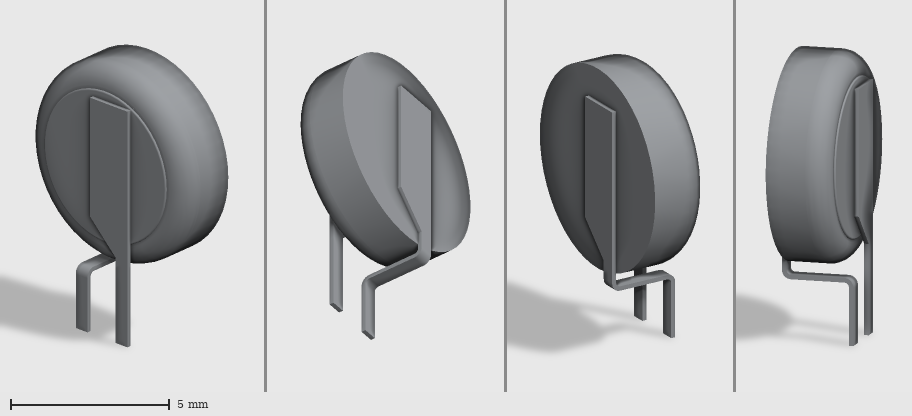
import cadquery as cq


can_diameter = 6.8
can_radius = can_diameter / 2
can_depth = 2.0
can_round = 0.7

recess_radius = 2.65
recess_depth = 0.5
cap_radius = 2.6
cap_protrusion = 0.06
cap_edge_round = cap_protrusion
recess_floor_y = -(can_depth - recess_depth)
cap_front_y = -(can_depth + cap_protrusion)

strip_thickness = 0.15
tab_width = 1.6
leg_width = 0.5
tab_outer_x = 1.1
tab_top_z = 2.3
taper_top_z = -1.8
taper_bottom_z = taper_top_z - (tab_width - leg_width)
overall_height = 9.25
leg_bottom_z = can_radius - overall_height

shelf_top_z = -3.67
shelf_bottom_z = shelf_top_z - strip_thickness
bend_inner_radius = 0.15
bend_outer_radius = bend_inner_radius + strip_thickness
strip_front_y = cap_front_y - strip_thickness


def cylinder(radius, start_y, length):
    """Solid cylinder on the cell axis, running from start_y toward -Y."""
    return cq.Workplane("XZ", origin=(0, start_y, 0)).circle(radius).extrude(length)


def make_can():
    body = cylinder(can_radius, 0, can_depth).faces("<Y").edges().fillet(can_round)
    return body.cut(cylinder(recess_radius, recess_floor_y, recess_depth))


def make_gasket():
    ring = cylinder(recess_radius, recess_floor_y, recess_depth)
    return ring.cut(cylinder(cap_radius, recess_floor_y, recess_depth))


def make_cap():
    disc = cylinder(cap_radius, recess_floor_y, recess_depth + cap_protrusion)
    return disc.faces("<Y").edges().fillet(cap_edge_round)


def terminal_blank(side, back_y, depth):
    """Terminal outline extruded toward -Y; side = 1 puts the leg at +X, -1 at -X."""
    outer_x = side * tab_outer_x
    tab_inner_x = side * (tab_outer_x - tab_width)
    leg_inner_x = side * (tab_outer_x - leg_width)
    outline = [
        (outer_x, tab_top_z),
        (outer_x, leg_bottom_z),
        (leg_inner_x, leg_bottom_z),
        (leg_inner_x, taper_bottom_z),
        (tab_inner_x, taper_top_z),
        (tab_inner_x, tab_top_z),
    ]
    return cq.Workplane("XZ", origin=(0, back_y, 0)).polyline(outline).close().extrude(depth)


def make_cap_terminal():
    return terminal_blank(1, cap_front_y, strip_thickness)


def bent_strip():
    """Side profile of the bent strip, as wide as the tab."""
    profile = [
        (0, tab_top_z),
        (0, shelf_top_z),
        (strip_front_y, shelf_top_z),
        (strip_front_y, leg_bottom_z),
        (cap_front_y, leg_bottom_z),
        (cap_front_y, shelf_bottom_z),
        (strip_thickness, shelf_bottom_z),
        (strip_thickness, tab_top_z),
    ]
    strip_start_x = -tab_outer_x
    strip = cq.Workplane("YZ", origin=(strip_start_x, 0, 0)).polyline(profile).close().extrude(tab_width)
    bends = [
        (0, shelf_top_z, bend_inner_radius),
        (strip_thickness, shelf_bottom_z, bend_outer_radius),
        (cap_front_y, shelf_bottom_z, bend_inner_radius),
        (strip_front_y, shelf_top_z, bend_outer_radius),
    ]
    for y, z, radius in bends:
        corner = cq.selectors.NearestToPointSelector((strip_start_x + tab_width / 2, y, z))
        strip = strip.edges(corner).fillet(radius)
    return strip


def make_can_terminal():
    blank = terminal_blank(-1, strip_thickness, strip_thickness - strip_front_y)
    return bent_strip().intersect(blank)


can = make_can()
gasket = make_gasket()
cap = make_cap()
cap_terminal = make_cap_terminal()
can_terminal = make_can_terminal()

result = cq.Compound.makeCompound([
    can.val(),
    gasket.val(),
    cap.val(),
    *cap_terminal.vals(),
    *can_terminal.solids().vals(),
])